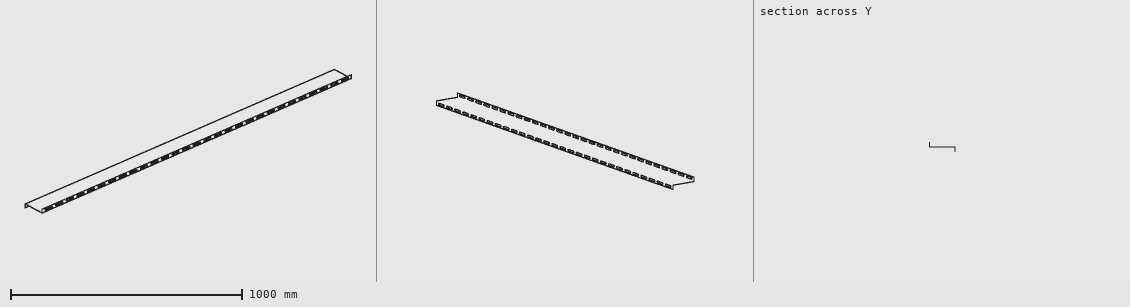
import cadquery as cq

length = 1798.0
width = 111.0
height = 40.0
thickness = 0.75
inner_bend_radius = 0.7
outer_bend_radius = inner_bend_radius + thickness

slot_count = 29
end_to_first_slot = 38.0
slot_pitch = (length - 2 * end_to_first_slot) / (slot_count - 1)
slot_length = 41.0
slot_height = 7.0

half_width = width / 2
half_height = height / 2
half_thickness = thickness / 2


def z_section():
    """Extrude the sharp-cornered Z cross-section along the rail, centred on the origin."""
    one_side = [
        (half_width - thickness, half_thickness),
        (-half_width, half_thickness),
        (-half_width, -half_height),
        (-half_width + thickness, -half_height),
    ]
    other_side = [(-x, -z) for x, z in one_side]
    return cq.Workplane("XZ").polyline(one_side + other_side).close().extrude(length / 2, both=True)


def round_bends(rail):
    """Round the outer and the inner edge of both bends."""
    for side in (-1, 1):
        outer_edge = (side * half_width, 0, -side * half_thickness)
        inner_edge = (side * (half_width - thickness), 0, side * half_thickness)
        rail = rail.edges(cq.NearestToPointSelector(outer_edge)).fillet(outer_bend_radius)
        rail = rail.edges(cq.NearestToPointSelector(inner_edge)).fillet(inner_bend_radius)
    return rail


def flange_slots(flange_x, slot_z):
    """Cutters for the row of slots through the flange centred on flange_x."""
    return (
        cq.Workplane("YZ", origin=(flange_x, 0, slot_z))
        .rarray(slot_pitch, 18, slot_count, 1)
        .slot2D(slot_length, slot_height)
        .extrude(thickness, both=True)
    )


flange_centre_x = half_width - half_thickness
slot_centre_z = (half_height + half_thickness) / 2

result = round_bends(z_section())
for side in (-1, 1):
    result = result.cut(flange_slots(side * flange_centre_x, side * slot_centre_z))